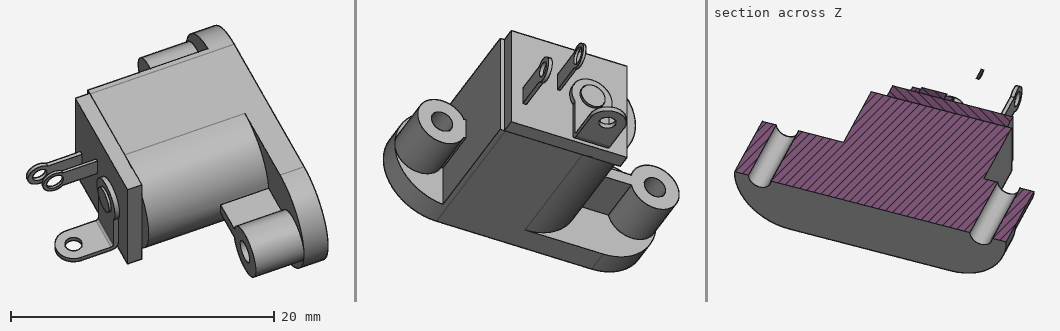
import cadquery as cq


flange_length = 22.1
flange_height = 9.0
half_height = flange_height / 2
flange_thickness = 2.01

boss_offset = 9.0
boss_radius = flange_length / 2 - boss_offset
boss_length = 4.0
screw_hole_diameter = 1.8
left_web_height = 1.8
right_web_height = 1.0

block_left = -6.98
block_length = 10.0
barrel_radius = half_height
barrel_center_x = -0.05

plate_left = -6.63
plate_width = 9.8
plate_thickness = 1.2

flange_rear = -flange_thickness
boss_rear = flange_rear - boss_length
block_rear = flange_rear - block_length
plate_rear = block_rear - plate_thickness
tail_length = 4.5
tail_end = plate_rear - tail_length

blade_strip_height = 1.5
blade_ring_radius = 1.0
blades = [
    (-2.6, 0.82, 0.22, 1.4),
    (-5.5, -1.6, 0.3, 1.2),
]

lug_thickness = 0.4
lug_head_radius = 1.7
lug_width = 2.85
lug_bend_inner_radius = 0.2
lug_bend_outer_radius = lug_bend_inner_radius + lug_thickness
lug_hole_diameter = 1.3
lug_bottom = -half_height
lug_rear = plate_rear - lug_thickness
rivet_radius = 1.02
rivet_protrusion = 0.2


def box_between(x_range, y_range, z_range):
    """Box spanning the given low and high coordinates along each axis."""
    sizes = [high - low for low, high in (x_range, y_range, z_range)]
    corner = (x_range[0], y_range[0], z_range[0])
    return cq.Workplane("XY").box(*sizes, centered=False).translate(corner)


def facing_rear(start_y, x=0):
    """Workplane at start_y whose extrusions grow towards the rear."""
    return cq.Workplane("XZ", origin=(x, start_y, 0))


def flange_outline(length):
    """Round-ended flange shape extruded rearwards from Y = 0."""
    return facing_rear(0).slot2D(flange_length, flange_height).extrude(length)


def make_block():
    """Flat-sided block with a half-round right side, trimmed to the flange outline on its left."""
    depth = flange_thickness + block_length
    square_side = box_between(
        (block_left, barrel_center_x), (-depth, 0), (-half_height, half_height)
    )
    barrel = facing_rear(0, barrel_center_x).circle(barrel_radius).extrude(depth)
    return square_side.union(barrel).intersect(flange_outline(depth))


def make_boss(side, web_height):
    """Screw boss on one side (-1 left, +1 right) with a web reaching in to the block."""
    boss = facing_rear(0, side * boss_offset).circle(boss_radius).extrude(-boss_rear)
    web_ends = sorted((0, side * boss_offset))
    web = box_between(web_ends, (boss_rear, 0), (-web_height / 2, web_height / 2))
    return boss.union(web)


def make_housing():
    """Flange, block, bosses and webs with two screw holes right through."""
    housing = flange_outline(flange_thickness).union(make_block())
    for side, web_height in ((-1, left_web_height), (1, right_web_height)):
        housing = housing.union(make_boss(side, web_height))
    for side in (-1, 1):
        screw_hole = facing_rear(0, side * boss_offset).circle(screw_hole_diameter / 2)
        housing = housing.cut(screw_hole.extrude(-boss_rear))
    return housing


def make_rear_plate():
    """Rectangular plate closing the rear of the block."""
    return box_between(
        (plate_left, plate_left + plate_width),
        (plate_rear, block_rear),
        (-half_height, half_height),
    )


def make_blade(x, z, thickness, eyelet_diameter):
    """Upright blade standing on the rear plate, with a ring at its tip."""
    ring_y = tail_end + blade_ring_radius
    strip = box_between(
        (x - thickness / 2, x + thickness / 2),
        (ring_y, plate_rear),
        (z - blade_strip_height / 2, z + blade_strip_height / 2),
    )
    ring_plane = cq.Workplane("YZ", origin=(x, ring_y, z))
    ring = ring_plane.circle(blade_ring_radius).extrude(thickness / 2, both=True)
    eyelet = ring_plane.circle(eyelet_diameter / 2).extrude(thickness, both=True)
    return strip.union(ring).cut(eyelet)


def make_lug():
    """L-shaped lug: round head on the plate, rounded right-angle bend, round-ended tail with a hole."""
    half_width = lug_width / 2
    tail_center_y = tail_end + half_width
    head = facing_rear(plate_rear).circle(lug_head_radius).extrude(lug_thickness)
    upright = box_between((-half_width, half_width), (lug_rear, plate_rear), (lug_bottom, 0))
    tail = box_between(
        (-half_width, half_width),
        (tail_center_y, plate_rear),
        (lug_bottom, lug_bottom + lug_thickness),
    )
    bent_strip = upright.union(tail)
    bent_strip = bent_strip.edges(
        cq.selectors.NearestToPointSelector((0, plate_rear, lug_bottom))
    ).fillet(lug_bend_outer_radius)
    bent_strip = bent_strip.edges(
        cq.selectors.NearestToPointSelector((0, lug_rear, lug_bottom + lug_thickness))
    ).fillet(lug_bend_inner_radius)
    tail_plane = cq.Workplane("XY", origin=(0, tail_center_y, lug_bottom))
    tail_tip = tail_plane.circle(half_width).extrude(lug_thickness)
    tail_hole = tail_plane.circle(lug_hole_diameter / 2).extrude(lug_thickness)
    rivet_hole = facing_rear(plate_rear).circle(rivet_radius).extrude(lug_thickness)
    return head.union(bent_strip).union(tail_tip).cut(tail_hole).cut(rivet_hole)


def make_rivet():
    """Plain rivet filling the lug's head hole and standing slightly proud of it."""
    return facing_rear(plate_rear).circle(rivet_radius).extrude(lug_thickness + rivet_protrusion)


housing = make_housing()
rear_plate = make_rear_plate()
blade_terminals = [make_blade(*blade) for blade in blades]
lug = make_lug()
rivet = make_rivet()

result = cq.Compound.makeCompound([
    housing.val(),
    rear_plate.val(),
    *[blade.val() for blade in blade_terminals],
    lug.val(),
    rivet.val(),
])